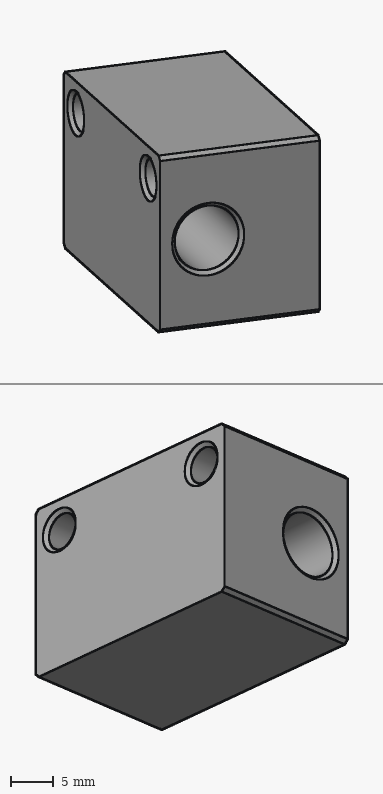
import cadquery as cq

length = 32.0
depth = 20.0
height = 22.0
edge_chamfer = 0.5

small_diameter = 4.5
small_spacing = 24.0
small_top_offset = 4.0

bore_diameter = 8.0
bore_front_offset = 6.0

hole_chamfer = 0.5


def chamfered_hole(diameter, through_length):
    """Cutter along Z, centred on the origin, flared at both ends."""
    radius = diameter / 2
    mouth_radius = radius + hole_chamfer
    half = through_length / 2
    profile = [
        (0, -half),
        (mouth_radius, -half),
        (radius, -half + hole_chamfer),
        (radius, half - hole_chamfer),
        (mouth_radius, half),
        (0, half),
    ]
    return cq.Workplane("XZ").polyline(profile).close().revolve(360, (0, 0), (0, 1))


block = cq.Workplane("XY").box(length, depth, height).edges("|Y").chamfer(edge_chamfer)

small_hole = chamfered_hole(small_diameter, depth).rotate((0, 0, 0), (1, 0, 0), 90)
small_z = height / 2 - small_top_offset
for side in (-1, 1):
    small_x = side * small_spacing / 2
    block = block.cut(small_hole.translate((small_x, 0, small_z)))

bore = chamfered_hole(bore_diameter, length).rotate((0, 0, 0), (0, 1, 0), 90)
bore_y = -depth / 2 + bore_front_offset
result = block.cut(bore.translate((0, bore_y, 0)))